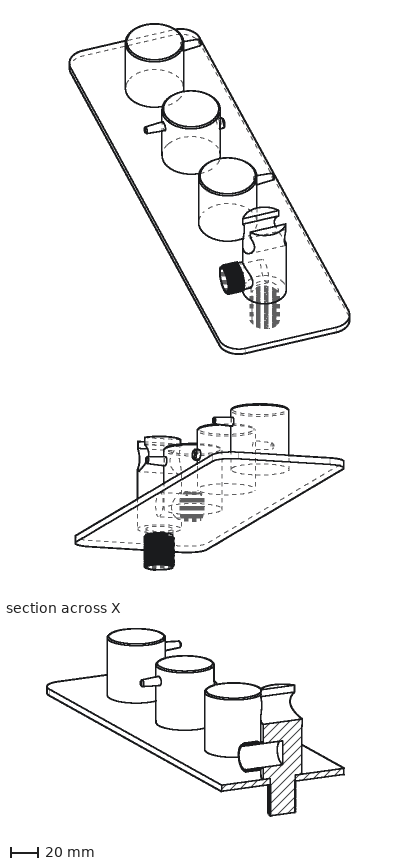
import cadquery as cq

plate_length = 355.0
plate_width = 100.0
plate_thickness = 5.0
plate_corner_radius = 15.0

outlet_x = 120.0
knob_spacing = 80.0
knob_centres = [-outlet_x + knob_spacing * i for i in range(3)]
middle_knob = 1
knob_diameter = 42.5
knob_height = 44.7
knob_top_chamfer = 1.0

lever_z = 39.0
lever_root_diameter = 6.7
lever_tip_diameter = 5.0
lever_reach = 36.0
lever_tip_chamfer = 1.0

button_z = 29.0
button_diameter = 7.8
button_reach = 25.2
button_chamfer = 1.0

post_diameter = 32.0
post_top_z = 70.5
rest_diameter = 22.0
rest_z = 58.0
rest_slot_width = 16.0

pipe_core_diameter = 20.0
thread_diameter = 21.5
thread_pitch = 1.8
thread_base_width = 1.5
thread_crest_width = 0.5
thread_embed = 0.5
thread_overrun = 0.5
inlet_end_z = -23.8
inlet_thread_start_angle = 0.0
outlet_z = 23.0
outlet_reach = 31.2
outlet_thread_length = 12.5
outlet_thread_start_angle = -90.0
outlet_bore_diameter = 17.8


def make_plate():
    plate = (
        cq.Workplane("XY")
        .rect(plate_length, plate_width)
        .extrude(plate_thickness)
        .edges("|Z")
        .fillet(plate_corner_radius)
    )
    inlet_hole = (
        cq.Workplane("XY")
        .center(outlet_x, 0)
        .circle(pipe_core_diameter / 2)
        .extrude(plate_thickness)
    )
    return plate.cut(inlet_hole)


def make_lever():
    """Tapered round lever along +Y, starting on the knob axis."""
    root_radius = lever_root_diameter / 2
    tip_radius = lever_tip_diameter / 2
    knob_radius = knob_diameter / 2
    return (
        cq.Workplane("XY")
        .polyline([
            (0, 0),
            (root_radius, 0),
            (root_radius, knob_radius),
            (tip_radius, lever_reach - lever_tip_chamfer),
            (tip_radius - lever_tip_chamfer, lever_reach),
            (0, lever_reach),
        ])
        .close()
        .revolve(360, (0, 0, 0), (0, 1, 0))
        .translate((0, 0, lever_z))
    )


def make_button():
    """Round push button along -Y, starting on the knob axis."""
    return (
        cq.Workplane("XZ")
        .center(0, button_z)
        .circle(button_diameter / 2)
        .extrude(button_reach)
        .faces("<Y")
        .chamfer(button_chamfer)
    )


def make_knob(centre_x, is_middle):
    """Knob with its lever to the back; the middle knob has a button and is turned half round."""
    knob = (
        cq.Workplane("XY", origin=(0, 0, plate_thickness))
        .circle(knob_diameter / 2)
        .extrude(knob_height)
        .faces(">Z")
        .chamfer(knob_top_chamfer)
        .union(make_lever())
    )
    if is_middle:
        knob = knob.union(make_button()).rotate((0, 0, 0), (0, 0, 1), 180)
    return knob.translate((centre_x, 0, 0))


def make_threaded_pipe(pipe_length, thread_length, start_angle):
    """Pipe along +Z from its end face at Z = 0, with a helical ridge starting at that end."""
    core_radius = pipe_core_diameter / 2
    crest_radius = thread_diameter / 2
    ridge_start_z = thread_base_width / 2 - thread_overrun
    helix = cq.Wire.makeHelix(thread_pitch, thread_length, core_radius)
    ridge = (
        cq.Workplane("XZ")
        .polyline([
            (core_radius - thread_embed, -thread_base_width / 2),
            (crest_radius, -thread_crest_width / 2),
            (crest_radius, thread_crest_width / 2),
            (core_radius - thread_embed, thread_base_width / 2),
        ])
        .close()
        .sweep(cq.Workplane(helix), isFrenet=True)
        .translate((0, 0, ridge_start_z))
        .rotate((0, 0, 0), (0, 0, 1), start_angle)
    )
    core = cq.Workplane("XY").circle(core_radius).extrude(pipe_length)
    return core.union(ridge)


def make_post():
    return (
        cq.Workplane("XY", origin=(0, 0, plate_thickness))
        .circle(post_diameter / 2)
        .extrude(post_top_z - plate_thickness)
    )


def make_handset_rest():
    """Keyhole cutter along Y: a round seat with a narrower slot open at the top."""
    seat = (
        cq.Workplane("XZ")
        .center(0, rest_z)
        .circle(rest_diameter / 2)
        .extrude(post_diameter / 2, both=True)
    )
    slot = (
        cq.Workplane("XY", origin=(0, 0, rest_z))
        .rect(rest_slot_width, post_diameter)
        .extrude(post_top_z - rest_z)
    )
    return seat.union(slot)


def make_hose_outlet():
    inlet_thread_length = -inlet_end_z - thread_base_width + thread_overrun
    inlet_pipe = make_threaded_pipe(
        plate_thickness - inlet_end_z, inlet_thread_length, inlet_thread_start_angle
    ).translate((0, 0, inlet_end_z))
    outlet_pipe = (
        make_threaded_pipe(outlet_reach, outlet_thread_length, outlet_thread_start_angle)
        .rotate((0, 0, 0), (1, 0, 0), -90)
        .translate((0, -outlet_reach, outlet_z))
    )
    outlet_bore = (
        cq.Workplane("XZ", origin=(0, -outlet_reach - thread_overrun, outlet_z))
        .circle(outlet_bore_diameter / 2)
        .extrude(-outlet_reach - thread_overrun)
    )
    return (
        make_post()
        .cut(make_handset_rest())
        .union(inlet_pipe)
        .union(outlet_pipe)
        .cut(outlet_bore)
        .translate((outlet_x, 0, 0))
    )


plate = make_plate()
knobs = [make_knob(x, i == middle_knob) for i, x in enumerate(knob_centres)]
hose_outlet = make_hose_outlet()

result = cq.Compound.makeCompound([
    plate.solids().val(),
    *[knob.solids().val() for knob in knobs],
    hose_outlet.solids().val(),
])